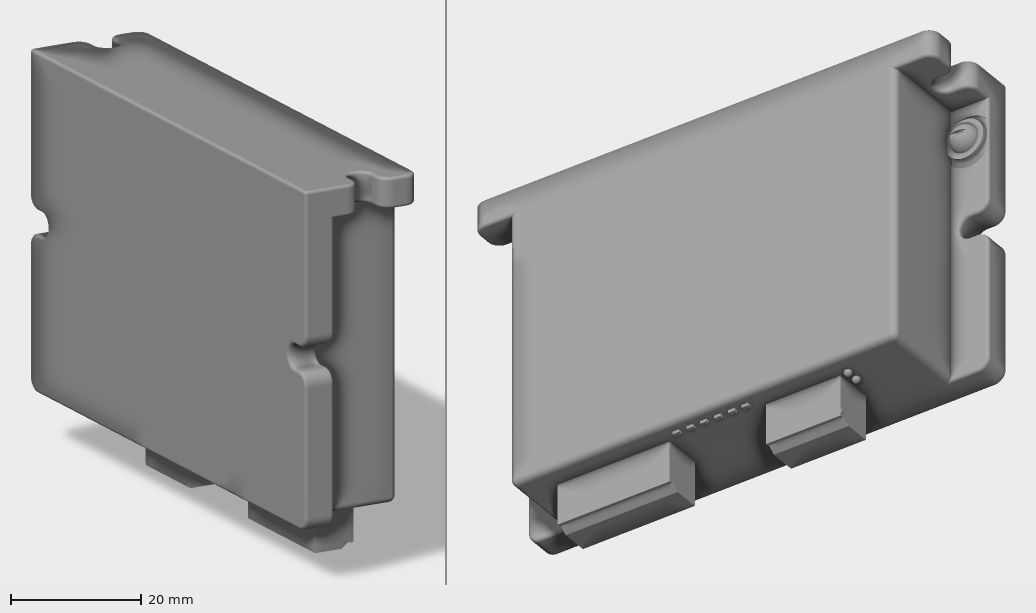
import cadquery as cq

WIDTH = 86.0
DEPTH = 20.0
HEIGHT = 54.8

PLATE = 5.0
CORNER_RADIUS = 2.15
EDGE_ROUND = 0.5

SLOT_WIDTH = 3.95
SLOT_REACH = 5.5
FRONT_SLOT_Z = HEIGHT / 2
TOP_SLOT_Y = 11.6

BODY_INSET = 7.0
BODY_ROUND = 1.0

CONNECTORS = [(20.0, 13.9), (51.95, 20.9)]
CONNECTOR_DROP = 8.2
CONNECTOR_FRONT_Y = 9.1
CONNECTOR_BACK_Y = 15.9
LIP_THICKNESS = 0.6
LIP_BOTTOM_Z = -7.4
SLOPE_TOP_Z = -7.05
SLOPE_END_Y = 13.8

TAB_WIDTH = 0.8
TAB_BOTTOM_Z = -6.8
TAB_HEIGHT = 0.7
TAB_OUT = 0.2

SLIDER_COUNT = 6
SLIDER_PITCH = 2.6
SLIDER_FIRST_X = 36.55
SLIDER_Y = 17.55
SLIDER_WIDTH = 1.2
SLIDER_DEPTH = 0.7
SLIDER_DROP = 0.5

LAMP_RADIUS = 0.7
LAMP_X = 18.4
LAMP_YS = [14.0, 16.25]
LAMP_CENTER_Z = -0.35

SCREW_X = 3.8
SCREW_Z = HEIGHT - 11.7
SPOT_RADIUS = 4.6
SPOT_DEPTH = 0.3
SPACER_RADIUS = 2.5
WASHER_RADIUS = 3.5
WASHER_BOTTOM_Y = 5.5
WASHER_TOP_Y = 6.0
HEAD_TOP_Y = 8.2
DRIVE_WIDTH = 0.7
DRIVE_DEPTH = 0.5

OVERLAP = 0.9
MARGIN = 0.01


def slot_cutter(plane, center, length):
    """Left-side slot with a round end and rounded mouth, extruded along the plane normal."""
    half = SLOT_WIDTH / 2
    r = CORNER_RADIUS
    arc_x = SLOT_REACH - half
    diagonal = r * (1 - 0.5**0.5)
    return (
        cq.Workplane(plane)
        .moveTo(0, center + half + r)
        .threePointArc((diagonal, center + half + diagonal), (r, center + half))
        .lineTo(arc_x, center + half)
        .threePointArc((SLOT_REACH, center), (arc_x, center - half))
        .lineTo(r, center - half)
        .threePointArc((diagonal, center - half - diagonal), (0, center - half - r))
        .close()
        .extrude(length)
    )


def mirrored_pair(shape):
    """The shape together with its mirror image about the middle of the width."""
    other = shape.mirror("YZ", (WIDTH / 2, 0, 0))
    return shape.union(other)


def bracket():
    front = cq.Workplane().box(WIDTH, PLATE, HEIGHT, centered=False)
    front = front.edges("|Y and <Z").fillet(CORNER_RADIUS)
    front = front.cut(mirrored_pair(slot_cutter("XZ", FRONT_SLOT_Z, -PLATE)))

    top_bottom_z = HEIGHT - PLATE
    top = cq.Workplane().box(WIDTH, DEPTH, PLATE, centered=False)
    top = top.edges("|Z and >Y").fillet(CORNER_RADIUS)
    top = top.cut(mirrored_pair(slot_cutter("XY", TOP_SLOT_Y, PLATE)))
    top = top.translate((0, 0, top_bottom_z))

    joined = front.union(top)
    joined = joined.faces("<Y or >Z").edges().fillet(EDGE_ROUND)

    inside = cq.selectors.BoxSelector(
        (-MARGIN, PLATE - MARGIN, -MARGIN),
        (WIDTH + MARGIN, DEPTH + MARGIN, top_bottom_z + MARGIN),
        boundingbox=True,
    )
    meeting_line = cq.selectors.BoxSelector(
        (-MARGIN, PLATE - MARGIN, top_bottom_z - MARGIN),
        (WIDTH + MARGIN, PLATE + MARGIN, top_bottom_z + MARGIN),
        boundingbox=True,
    )
    return joined.edges(inside - meeting_line).fillet(EDGE_ROUND)


def body():
    front_y = PLATE / 2
    top_z = HEIGHT - PLATE / 2
    block = cq.Workplane().box(WIDTH - 2 * BODY_INSET, DEPTH - front_y, top_z, centered=False)
    block = block.edges("(|Z and >Y) or (<Z and (not <Y))").fillet(BODY_ROUND)
    return block.translate((BODY_INSET, front_y, 0))


def connector(left_x, width):
    """Plug block with a sloped lower back edge and a thin back lip."""
    lip_front_y = CONNECTOR_BACK_Y - LIP_THICKNESS
    return (
        cq.Workplane("YZ", origin=(left_x, 0, 0))
        .moveTo(CONNECTOR_FRONT_Y, OVERLAP)
        .lineTo(CONNECTOR_FRONT_Y, -CONNECTOR_DROP)
        .lineTo(SLOPE_END_Y, -CONNECTOR_DROP)
        .lineTo(lip_front_y, SLOPE_TOP_Z)
        .lineTo(lip_front_y, LIP_BOTTOM_Z)
        .lineTo(CONNECTOR_BACK_Y, LIP_BOTTOM_Z)
        .lineTo(CONNECTOR_BACK_Y, OVERLAP)
        .close()
        .extrude(width)
    )


def latch_tab(side_x):
    tab = cq.Workplane().box(TAB_OUT + OVERLAP, TAB_WIDTH, TAB_HEIGHT, centered=False)
    return tab.translate((side_x - TAB_OUT, CONNECTOR_BACK_Y - TAB_WIDTH, TAB_BOTTOM_Z))


def sliders():
    middle_x = SLIDER_FIRST_X + SLIDER_PITCH * (SLIDER_COUNT - 1) / 2
    return (
        cq.Workplane(origin=(middle_x, SLIDER_Y, -SLIDER_DROP))
        .rarray(SLIDER_PITCH, 0.9, SLIDER_COUNT, 1)
        .rect(SLIDER_WIDTH, SLIDER_DEPTH)
        .extrude(SLIDER_DROP + OVERLAP)
    )


def lamps():
    points = [(LAMP_X, y) for y in LAMP_YS]
    return cq.Workplane(origin=(0, 0, LAMP_CENTER_Z)).pushPoints(points).sphere(LAMP_RADIUS)


def screw_cylinder(radius, start_y, end_y):
    """Round disc on the ground screw axis, running along Y."""
    base = cq.Workplane("XZ", origin=(SCREW_X, start_y, SCREW_Z))
    return base.circle(radius).extrude(start_y - end_y)


def ground_screw():
    spacer = screw_cylinder(SPACER_RADIUS, PLATE - OVERLAP, WASHER_TOP_Y)
    washer = screw_cylinder(WASHER_RADIUS, WASHER_BOTTOM_Y, WASHER_TOP_Y)
    head_height = HEAD_TOP_Y - WASHER_TOP_Y
    dome_radius = (SPACER_RADIUS**2 + head_height**2) / (2 * head_height)
    dome = cq.Workplane().sphere(dome_radius)
    dome = dome.translate((SCREW_X, HEAD_TOP_Y - dome_radius, SCREW_Z))
    head = dome.intersect(screw_cylinder(SPACER_RADIUS, WASHER_BOTTOM_Y, HEAD_TOP_Y))
    drive = cq.Workplane().box(2 * SPACER_RADIUS, 2 * DRIVE_DEPTH, DRIVE_WIDTH)
    drive = drive.translate((SCREW_X, HEAD_TOP_Y, SCREW_Z))
    return spacer.union(washer).union(head.cut(drive))


spot_face = screw_cylinder(SPOT_RADIUS, PLATE - SPOT_DEPTH, HEAD_TOP_Y)
result = bracket().cut(spot_face).union(body()).union(ground_screw())
for left_x, width in CONNECTORS:
    result = result.union(connector(left_x, width))
first_connector_x = CONNECTORS[0][0]
result = result.union(latch_tab(first_connector_x)).union(sliders()).union(lamps())